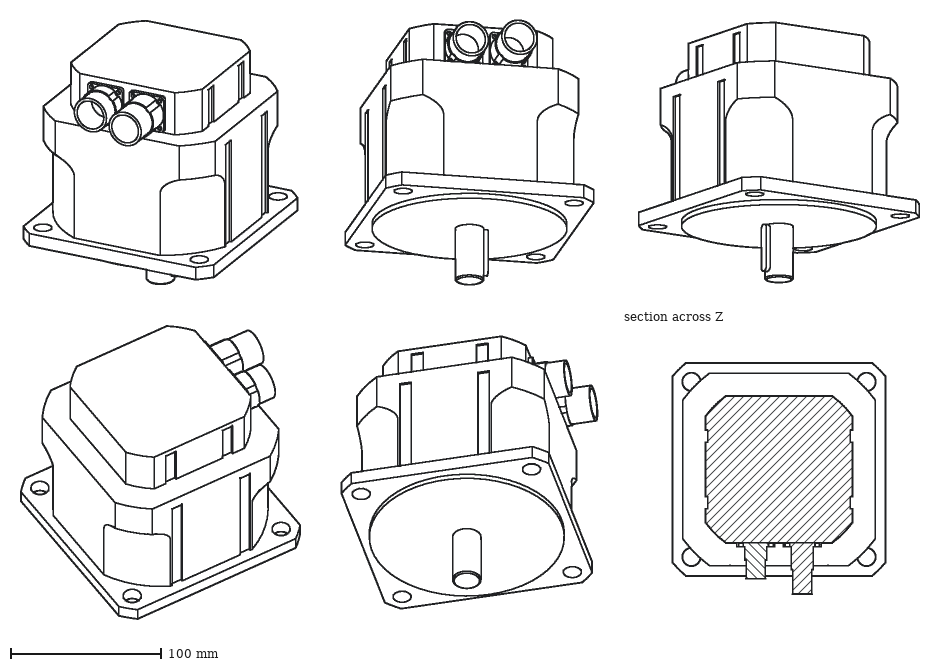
import cadquery as cq
import math


flange_thickness = 9.0
housing_height = 82.5
cover_height = 30.6
boss_height = 3.4
shaft_tip_depth = 39.9
housing_bottom = flange_thickness
cover_bottom = housing_bottom + housing_height

flange_width = 142.0
flange_corner_diameter = 188.5
housing_width = 128.3
housing_corner_diameter = 158.1
cover_width = 98.0
cover_corner_diameter = 120.9

boss_diameter = 130.0
mount_hole_diameter = 12.0
mount_hole_spacing = 116.6

relief_diameter = 143.4
relief_height = 57.7
relief_top_blend = 13.0

slot_width = 8.0
slot_depth = 1.5
housing_slot_spacing = 53.5
housing_slot_height = 73.9
cover_slot_spacing = 44.4
cover_slot_height = 26.5

shaft_diameter = 19.0
shaft_chamfer = 1.0
key_width = 6.0
key_length = 32.0
key_outer_x = 12.2

connector_spacing = 31.0
connector_z = 105.3
plate_width = 25.6
plate_thickness = 2.6
plate_corner_radius = 2.3
collar_diameter = 25.6
nose_diameter = 24.0
bore_diameter = 20.0
screw_hole_diameter = 2.8
screw_spacing = 20.0
screw_groove_diameter = 5.2
short_collar_end = 11.3
short_connector_length = 24.0
long_collar_end = 17.7
long_connector_length = 34.0


def rounded_square(width, corner_diameter, bottom, height):
    """Square prism whose corners are cut by a cylinder about the Z axis."""
    square = cq.Workplane("XY").workplane(offset=bottom).rect(width, width).extrude(height)
    cylinder = cq.Workplane("XY").workplane(offset=bottom).circle(corner_diameter / 2).extrude(height)
    return square.intersect(cylinder)


def corner_relief():
    """Ring outside the relief diameter; its top flares out along an arc to the housing corners."""
    inner = relief_diameter / 2
    corner = housing_corner_diameter / 2
    outside = housing_width
    flare = corner - inner
    blend_radius = (relief_top_blend**2 + flare**2) / (2 * flare)
    straight_top = housing_bottom + relief_height - relief_top_blend
    half_angle = math.asin(relief_top_blend / blend_radius) / 2
    arc_middle = (
        inner + blend_radius * (1 - math.cos(half_angle)),
        straight_top + blend_radius * math.sin(half_angle),
    )
    relief_top = housing_bottom + relief_height
    profile = (
        cq.Workplane("XZ")
        .moveTo(inner, housing_bottom)
        .lineTo(inner, straight_top)
        .threePointArc(arc_middle, (corner, relief_top))
        .lineTo(outside, relief_top)
        .lineTo(outside, housing_bottom)
        .close()
    )
    return profile.revolve(360, (0, 0, 0), (0, 1, 0))


def side_slots(body_width, spacing, bottom, height):
    """Two shallow vertical slots on each X side of a square section."""
    centers = [
        (side * body_width / 2, row * spacing / 2)
        for side in (-1, 1)
        for row in (-1, 1)
    ]
    return (
        cq.Workplane("XY")
        .workplane(offset=bottom)
        .pushPoints(centers)
        .rect(2 * slot_depth, slot_width)
        .extrude(height)
    )


def make_flange():
    plate = rounded_square(flange_width, flange_corner_diameter, 0, flange_thickness)
    boss = cq.Workplane("XY").circle(boss_diameter / 2).extrude(-boss_height)
    holes = (
        cq.Workplane("XY")
        .rect(mount_hole_spacing, mount_hole_spacing, forConstruction=True)
        .vertices()
        .circle(mount_hole_diameter / 2)
        .extrude(flange_thickness)
    )
    return plate.cut(holes).union(boss)


def make_housing():
    block = rounded_square(housing_width, housing_corner_diameter, housing_bottom, housing_height)
    slots = side_slots(housing_width, housing_slot_spacing, housing_bottom, housing_slot_height)
    return block.cut(corner_relief()).cut(slots)


def make_cover():
    block = rounded_square(cover_width, cover_corner_diameter, cover_bottom, cover_height)
    return block.cut(side_slots(cover_width, cover_slot_spacing, cover_bottom, cover_slot_height))


def make_shaft():
    """Shaft with a round-ended key on its +X side, the key starting at the boss face."""
    shaft = (
        cq.Workplane("XY")
        .circle(shaft_diameter / 2)
        .extrude(-shaft_tip_depth)
        .faces("<Z")
        .chamfer(shaft_chamfer)
    )
    key = (
        cq.Workplane("YZ")
        .center(0, -boss_height - key_length / 2)
        .slot2D(key_length, key_width, 90)
        .extrude(key_outer_x)
    )
    return shaft.union(key)


def make_motor():
    return make_flange().union(make_housing()).union(make_cover()).union(make_shaft())


def make_connector(center_x, collar_end, length):
    """Hollow round connector on a screwed square plate, standing off the cover's -Y face."""
    base = cq.Workplane("XZ", origin=(center_x, -cover_width / 2, connector_z))
    front = base.workplane(offset=plate_thickness)

    def at_screws(plane):
        return plane.rect(screw_spacing, screw_spacing, forConstruction=True).vertices()

    plate = base.rect(plate_width, plate_width).extrude(plate_thickness)
    plate = plate.edges("|Y").fillet(plate_corner_radius)
    screw_holes = at_screws(base).circle(screw_hole_diameter / 2).extrude(plate_thickness)

    collar = front.circle(collar_diameter / 2).extrude(collar_end - plate_thickness)
    grooves = at_screws(front).circle(screw_groove_diameter / 2).extrude(collar_end - plate_thickness)
    nose = base.workplane(offset=collar_end).circle(nose_diameter / 2).extrude(length - collar_end)
    bore = front.circle(bore_diameter / 2).extrude(length - plate_thickness)

    barrel = collar.cut(grooves).union(nose).cut(bore)
    return plate.cut(screw_holes).union(barrel)


motor = make_motor()
connectors = [
    make_connector(center_x, collar_end, length).val()
    for center_x, collar_end, length in (
        (-connector_spacing / 2, short_collar_end, short_connector_length),
        (connector_spacing / 2, long_collar_end, long_connector_length),
    )
]

result = cq.Compound.makeCompound([motor.val(), *connectors])